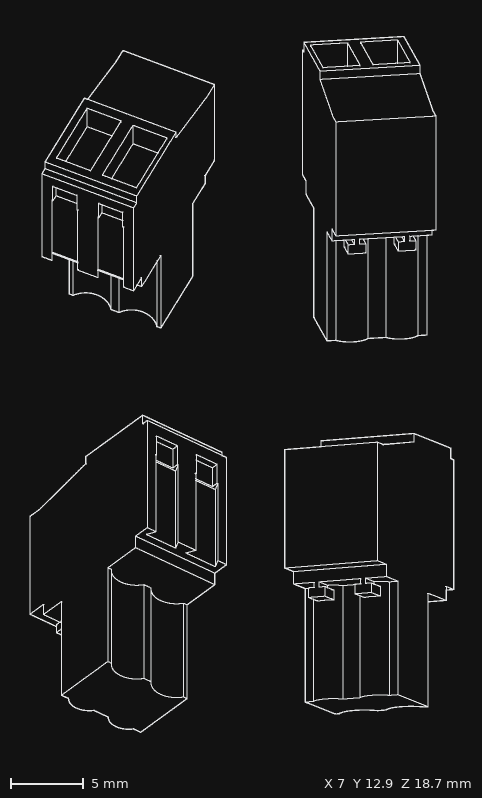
import cadquery as cq

pole_pitch = 3.5
pole_count = 2
width = pole_count * pole_pitch
pole_centres = [(i - (pole_count - 1) / 2) * pole_pitch for i in range(pole_count)]

depth = 12.9
height = 18.7
front_ledge_depth = 0.5
front_ledge_z = 17.97
crown_back_y = 6.77
slope_top_z = 18.1
slope_end_y = 11.8
back_top_z = 17.07
back_bottom_z = 8.79
base_back_y = 11.4
base_z = 7.93
base_front_y = 1.29
front_bottom_z = 8.9
leg_front_y = 4.34
leg_back_y = 9.45

flute_width = 2.88
flute_depth = 0.75
rib_width = 2.25
rib_height = 0.55

pocket_width = 2.6
pocket_front_y = 1.16
pocket_back_y = 6.04
pocket_floor_z = 16.68
pocket_offset_x = 0.11

clamp_height = pocket_back_y - pocket_front_y

window_width = 1.83
window_top_z = 17.02
window_depth = 0.52
groove_top_z = 15.43
groove_opening_width = 1.95
groove_floor_width = 2.58
groove_depth = 0.67

tab_stem_width = 0.37
tab_head_width = 1.23
tab_head_top_z = 7.57
tab_head_bottom_z = 6.9


def box(x_centre, x_size, y_start, y_end, z_start, z_end):
    """Box centred on x_centre, spanning the given Y and Z ranges."""
    return (
        cq.Workplane("XY", origin=(x_centre, y_start, z_start))
        .box(x_size, y_end - y_start, z_end - z_start, centered=(True, False, False))
    )


def arc_segment(x_centre, base_y, chord, rise):
    """Vertical prism over the full leg height, bounded by a chord and an arc rising toward +Y."""
    return (
        cq.Workplane("XY")
        .moveTo(x_centre - chord / 2, base_y)
        .threePointArc((x_centre, base_y + rise), (x_centre + chord / 2, base_y))
        .close()
        .extrude(base_z)
    )


def dovetail_groove(x_centre):
    """Vertical prism that widens from the front face to the groove floor."""
    half_opening = groove_opening_width / 2
    half_floor = groove_floor_width / 2
    return (
        cq.Workplane("XY", origin=(x_centre, 0, front_bottom_z))
        .polyline([(-half_opening, 0), (half_opening, 0), (half_floor, groove_depth), (-half_floor, groove_depth)])
        .close()
        .extrude(groove_top_z - front_bottom_z)
    )


def pocket_block(x_centre, z_start, z_end):
    """Block with the plan outline of the wire pocket of the pole at x_centre."""
    return box(x_centre + pocket_offset_x, pocket_width, pocket_front_y, pocket_back_y, z_start, z_end)


def make_clamp(x_centre):
    return pocket_block(x_centre, pocket_floor_z - clamp_height, pocket_floor_z)


def make_housing():
    profile = [
        (0, front_bottom_z),
        (0, front_ledge_z),
        (front_ledge_depth, front_ledge_z),
        (front_ledge_depth, height),
        (crown_back_y, height),
        (crown_back_y, slope_top_z),
        (slope_end_y, back_top_z),
        (depth, back_top_z),
        (depth, back_bottom_z),
        (base_back_y, back_bottom_z),
        (base_back_y, base_z),
        (leg_back_y, base_z),
        (leg_back_y, 0),
        (leg_front_y, 0),
        (leg_front_y, base_z),
        (base_front_y, base_z),
        (base_front_y, front_bottom_z),
    ]
    body = cq.Workplane("YZ").polyline(profile).close().extrude(width / 2, both=True)
    for x in pole_centres:
        body = body.cut(arc_segment(x, leg_front_y, flute_width, flute_depth))
        body = body.union(arc_segment(x, leg_back_y, rib_width, rib_height))
        body = body.union(box(x, tab_stem_width, leg_back_y, base_back_y, tab_head_top_z, base_z))
        body = body.union(box(x, tab_head_width, leg_back_y, base_back_y, tab_head_bottom_z, tab_head_top_z))
        body = body.cut(pocket_block(x, pocket_floor_z - clamp_height, height))
        body = body.cut(box(x, window_width, 0, window_depth, groove_top_z, window_top_z))
        body = body.cut(dovetail_groove(x))
    return body


housing = make_housing()
clamps = [make_clamp(x) for x in pole_centres]

result = cq.Compound.makeCompound([housing.val(), *[clamp.val() for clamp in clamps]])